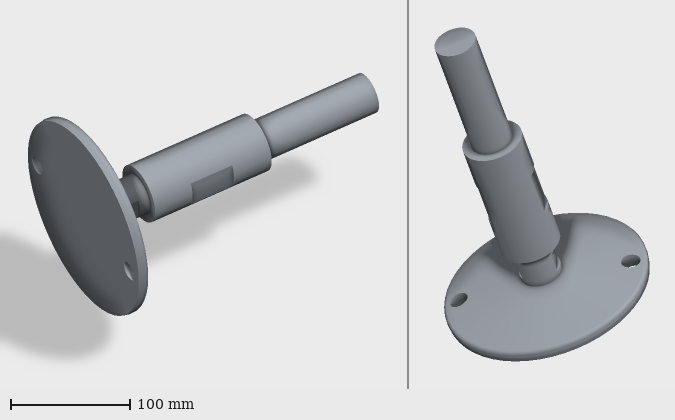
import cadquery as cq
import math

total_length = 280.0

plate_diameter = 178.0
base_inset = 0.8
taper_height = 4.5
rim_height = 9.8
rim_fillet = 3.5
cone_top_height = 21.3

stem_diameter = 36.0
stem_flat_width = 30.0
stem_flat_start = 27.0
stem_flat_length = 18.0

sleeve_diameter = 52.0
sleeve_start = 54.5
sleeve_length = 114.8
sleeve_flat_width = 46.0
sleeve_flat_length = 41.0

hole_diameter = 16.5
hole_offset = 73.0

plate_radius = plate_diameter / 2
stem_radius = stem_diameter / 2
cone_angle = math.atan2(cone_top_height - rim_height, plate_radius - stem_radius)


def cylinder(diameter, start, length):
    """Cylinder along +Y, beginning at Y = start."""
    return cq.Workplane(cq.Solid.makeCylinder(
        diameter / 2, length, cq.Vector(0, start, 0), cq.Vector(0, 1, 0)))


def cut_wrench_flats(body, diameter, flat_width, start, length):
    """Cut two opposite flats, facing -X and +X, into a round body."""
    depth = (diameter - flat_width) / 2
    for side in (-1, 1):
        flat = (
            cq.Workplane("XY")
            .box(depth, length, diameter)
            .translate((side * (flat_width + depth) / 2, start + length / 2, 0))
        )
        body = body.cut(flat)
    return body


def anchor_hole(side):
    """Cutter for one anchor hole, leaning outwards to stand square to the cone."""
    direction = cq.Vector(side * math.sin(cone_angle), math.cos(cone_angle), 0)
    base_point = cq.Vector(side * hole_offset, 0, 0)
    reach = cone_top_height
    return cq.Workplane(cq.Solid.makeCylinder(
        hole_diameter / 2, 2 * reach, base_point - direction * reach, direction))


def make_foot():
    turn = math.pi / 2 - cone_angle
    fillet_start = rim_height - rim_fillet * math.tan(turn / 2)
    center_radius = plate_radius - rim_fillet

    def fillet_point(angle):
        return (
            center_radius + rim_fillet * math.cos(angle),
            fillet_start + rim_fillet * math.sin(angle),
        )

    foot = (
        cq.Workplane("XY")
        .lineTo(plate_radius - base_inset, 0)
        .lineTo(plate_radius, taper_height)
        .lineTo(plate_radius, fillet_start)
        .threePointArc(fillet_point(turn / 2), fillet_point(turn))
        .lineTo(stem_radius, cone_top_height)
        .lineTo(stem_radius, total_length)
        .lineTo(0, total_length)
        .close()
        .revolve(360, (0, 0, 0), (0, 1, 0))
    )
    for side in (-1, 1):
        foot = foot.cut(anchor_hole(side))
    return cut_wrench_flats(foot, stem_diameter, stem_flat_width, stem_flat_start, stem_flat_length)


def make_sleeve():
    sleeve = cylinder(sleeve_diameter, sleeve_start, sleeve_length)
    bore = cylinder(stem_diameter, sleeve_start, sleeve_length)
    flat_start = sleeve_start + (sleeve_length - sleeve_flat_length) / 2
    sleeve = sleeve.cut(bore)
    return cut_wrench_flats(sleeve, sleeve_diameter, sleeve_flat_width, flat_start, sleeve_flat_length)


foot = make_foot()
sleeve = make_sleeve()

result = cq.Compound.makeCompound([foot.solids().val(), sleeve.solids().val()])